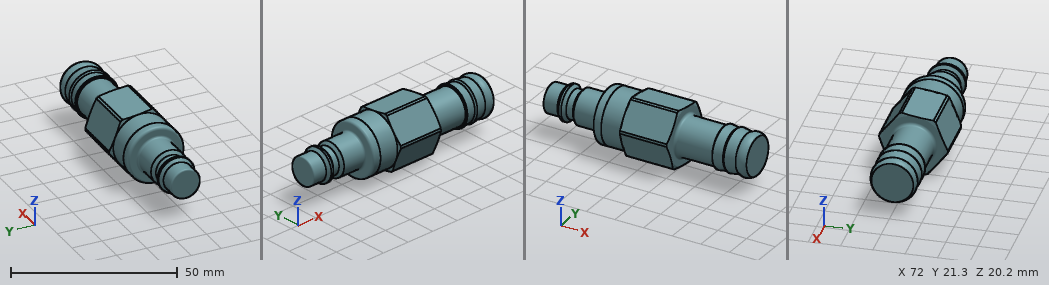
import cadquery as cq
import math

length = 72.0

tip_radius = 9.9 / 2
groove_radius = 9.7 / 2
tip_rounding = 0.5
collar_start = 5.05
collar_end = 8.1
collar_crest_start = 6.1
collar_crest_end = 7.0
plug_radius = 12.0 / 2
shoulder_start = 10.4
shoulder_end = 11.4
plug_root_fillet = 0.7

body_start = 20.0
body_radius = 18.9 / 2
band_radius = 19.0 / 2
band_end = 23.05
body_rounding = 0.9

hex_start = 29.95
hex_end = 46.95
hex_flats = 19.0
hex_corner_radius = 10.7
hex_turn = 8.0
hex_chamfer_angle = 15.0

tail_radius = 13.1 / 2
tail_root_fillet = 1.0
barb_starts = (60.3, 64.4)
barb_radius = 14.5 / 2
barb_valley_radius = 6.8
barb_lip = 0.4
barb_land = 0.2
bead_start = 68.3
bead_start_radius = 6.7
bead_crest = 70.1
bead_end_radius = 6.5

diagonal = math.sqrt(0.5)


def concave_fillet_middle(corner_x, corner_radius, fillet, side):
    """Middle of a quarter fillet at an inside corner; side is the shaft's X direction."""
    inset = fillet * (1 - diagonal)
    return corner_x + side * inset, corner_radius + inset


def make_turned_shape():
    tip_inset = tip_rounding * (1 - diagonal)
    body_inset = body_rounding * (1 - diagonal)
    profile = (
        cq.Workplane("XY")
        .moveTo(0, 0)
        .lineTo(0, tip_radius - tip_rounding)
        .threePointArc((tip_inset, tip_radius - tip_inset), (tip_rounding, tip_radius))
        .lineTo(collar_start, tip_radius)
        .lineTo(collar_crest_start, plug_radius)
        .lineTo(collar_crest_end, plug_radius)
        .lineTo(collar_end, groove_radius)
        .lineTo(shoulder_start, groove_radius)
        .lineTo(shoulder_end, plug_radius)
        .lineTo(body_start - plug_root_fillet, plug_radius)
        .threePointArc(
            concave_fillet_middle(body_start, plug_radius, plug_root_fillet, -1),
            (body_start, plug_radius + plug_root_fillet),
        )
        .lineTo(body_start, band_radius - body_rounding)
        .threePointArc(
            (body_start + body_inset, band_radius - body_inset),
            (body_start + body_rounding, band_radius),
        )
        .lineTo(band_end, band_radius)
        .lineTo(band_end, body_radius)
        .lineTo(hex_end, body_radius)
        .lineTo(hex_end, tail_radius + tail_root_fillet)
        .threePointArc(
            concave_fillet_middle(hex_end, tail_radius, tail_root_fillet, 1),
            (hex_end + tail_root_fillet, tail_radius),
        )
        .lineTo(barb_starts[0], tail_radius)
    )
    barb_ends = (barb_starts[1] - barb_lip, bead_start)
    barb_end_radii = (barb_valley_radius, bead_start_radius)
    for start, end, end_radius in zip(barb_starts, barb_ends, barb_end_radii):
        profile = (
            profile.lineTo(start, barb_radius - barb_land)
            .lineTo(start + barb_land, barb_radius)
            .lineTo(start + barb_lip, barb_radius)
            .lineTo(end, end_radius)
        )
    profile = (
        profile.threePointArc((bead_crest, barb_radius), (length, bead_end_radius))
        .lineTo(length, 0)
        .close()
    )
    return profile.revolve(360, (0, 0, 0), (1, 0, 0))


def make_hexagon():
    hex_length = hex_end - hex_start
    prism = (
        cq.Workplane("YZ")
        .workplane(offset=hex_start)
        .polygon(6, hex_flats / math.cos(math.pi / 6))
        .extrude(hex_length)
        .rotate((0, 0, 0), (1, 0, 0), -hex_turn)
    )
    flat_radius = hex_flats / 2
    cone_depth = (hex_corner_radius - flat_radius) * math.tan(math.radians(hex_chamfer_angle))
    envelope = (
        cq.Workplane("XY")
        .moveTo(hex_start, 0)
        .lineTo(hex_start, flat_radius)
        .lineTo(hex_start + cone_depth, hex_corner_radius)
        .lineTo(hex_end - cone_depth, hex_corner_radius)
        .lineTo(hex_end, flat_radius)
        .lineTo(hex_end, 0)
        .close()
        .revolve(360, (0, 0, 0), (1, 0, 0))
    )
    return prism.intersect(envelope)


result = make_turned_shape().union(make_hexagon())